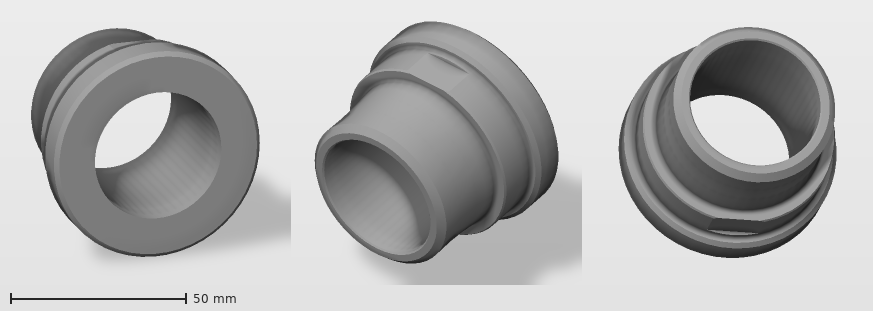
import cadquery as cq

total_length = 46.5
collar_start = 23.95
flange_start = 36.0

flange_radius = 30.9
collar_radius = 56.0 / 2
spigot_radius = 23.55
spigot_root_radius = 24.3

tip_chamfer = 2.0
collar_chamfer_length = 0.6
collar_chamfer_depth = 0.4
root_fillet = 0.8
flange_chamfer = 1.25

waist_radius = 23.45
waist_position = 11.15

bore_radius = 38.0 / 2
mouth_chamfer = 0.45

flat_height = 26.95
flat_end = 34.0
flat_end_slant = 0.25


def make_body():
    """Revolve the stepped outer profile about the X axis."""
    flare_end = collar_start - root_fillet
    collar_end = flange_start - root_fillet
    profile = (
        cq.Workplane("XY")
        .lineTo(0, spigot_radius - tip_chamfer)
        .lineTo(tip_chamfer, spigot_radius)
        .threePointArc((waist_position, waist_radius), (flare_end, spigot_root_radius))
        .radiusArc((collar_start, spigot_root_radius + root_fillet), -root_fillet)
        .lineTo(collar_start, collar_radius - collar_chamfer_depth)
        .lineTo(collar_start + collar_chamfer_length, collar_radius)
        .lineTo(collar_end, collar_radius)
        .radiusArc((flange_start, collar_radius + root_fillet), -root_fillet)
        .lineTo(flange_start, flange_radius - flange_chamfer)
        .lineTo(flange_start + flange_chamfer, flange_radius)
        .lineTo(total_length - flange_chamfer, flange_radius)
        .lineTo(total_length, flange_radius - flange_chamfer)
        .lineTo(total_length, 0)
        .close()
    )
    return profile.revolve(360, (0, 0, 0), (1, 0, 0))


def make_bore():
    """Revolve the through bore with its chamfered mouth."""
    profile = (
        cq.Workplane("XY")
        .lineTo(0, bore_radius + mouth_chamfer)
        .lineTo(mouth_chamfer, bore_radius)
        .lineTo(total_length, bore_radius)
        .lineTo(total_length, 0)
        .close()
    )
    return profile.revolve(360, (0, 0, 0), (1, 0, 0))


def make_flat_cutter():
    """Wedge-ended block above the top flat, clearing the full collar height."""
    return (
        cq.Workplane("XZ")
        .moveTo(collar_start, flat_height)
        .lineTo(flat_end, flat_height)
        .lineTo(flat_end + flat_end_slant, collar_radius)
        .lineTo(collar_start, collar_radius)
        .close()
        .extrude(collar_radius, both=True)
    )


flat_cutter = make_flat_cutter()
result = make_body().cut(make_bore())
for cutter in (flat_cutter, flat_cutter.mirror("XY")):
    result = result.cut(cutter)